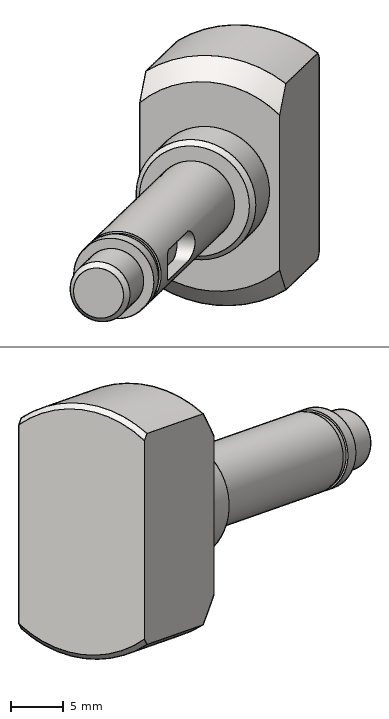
import cadquery as cq

total_length = 49.5
head_length = 13.0
collar_length = 5.0
tip_length = 5.0

head_diameter = 24.95
collar_diameter = 12.0
shaft_diameter = 8.0
tip_diameter = 6.0

head_width = 14.0

edge_chamfer = 0.5
head_front_chamfer = 2.05

groove_width = 0.9
groove_depth = 0.2
groove_setback = 1.5

keyway_width = 3.0
keyway_length = 9.0
keyway_depth = 1.8
keyway_center_from_tip = 14.0

tip_y = -total_length / 2
head_back_y = total_length / 2
head_front_y = head_back_y - head_length
collar_front_y = head_front_y - collar_length
shaft_front_y = tip_y + tip_length


def cylinder(diameter, start_y, end_y):
    """Solid cylinder on the Y axis from start_y to end_y."""
    plane = cq.Workplane("XZ", origin=(0, end_y, 0))
    return plane.circle(diameter / 2).extrude(end_y - start_y)


def make_head():
    head = cylinder(head_diameter, head_front_y, head_back_y)
    head = head.faces("<Y").chamfer(head_front_chamfer)
    head = head.faces(">Y").chamfer(edge_chamfer)
    return head.intersect(cq.Workplane().box(head_width, 2 * total_length, 2 * head_diameter))


def make_groove():
    start_y = shaft_front_y + groove_setback
    end_y = start_y + groove_width
    outer = cylinder(2 * shaft_diameter, start_y, end_y)
    return outer.cut(cylinder(shaft_diameter - 2 * groove_depth, start_y, end_y))


def make_keyway():
    floor_x = shaft_diameter / 2 - keyway_depth
    center = (floor_x, tip_y + keyway_center_from_tip, 0)
    return cq.Workplane("YZ", origin=center).slot2D(keyway_length, keyway_width).extrude(shaft_diameter)


collar = cylinder(collar_diameter, collar_front_y, head_front_y).faces("<Y").chamfer(edge_chamfer)
shaft = cylinder(shaft_diameter, shaft_front_y, collar_front_y)
shaft = shaft.cut(make_groove()).cut(make_keyway())
tip = cylinder(tip_diameter, tip_y, shaft_front_y).faces("<Y").chamfer(edge_chamfer)

result = make_head().union(collar).union(shaft).union(tip)